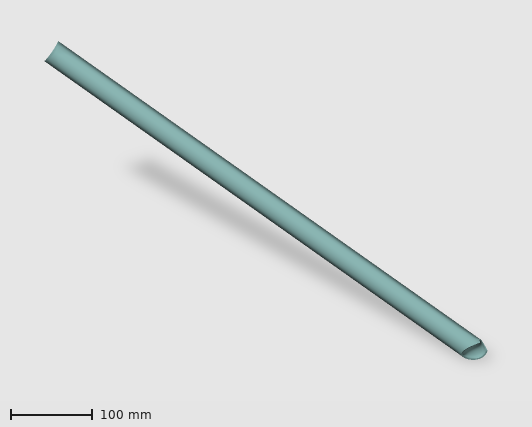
import cadquery as cq
import math

tube_radius = 14.9
wall = 1.5
run_x = 762.0
rise_y = 22.0
drop_z = 174.0
cutter_length = 153.0
end_margin = 46.0

start_radius = 15.0
start_roll = -38.0
start_tilt = 10.0

broad_roll = 35.0
broad_radius = 31.0
broad_tilt = 28.0
broad_lead = 27.0
notch_roll = 45.0
notch_radius = 14.9
notch_tilt = -34.0
notch_lead = 18.0

tube_length = math.sqrt(run_x**2 + rise_y**2 + drop_z**2)
tube_direction = cq.Vector(run_x, rise_y, -drop_z).normalized()
side_direction = cq.Vector(-rise_y, run_x, 0).normalized()
lift_direction = tube_direction.cross(side_direction)


def make_tube():
    """Tube reaching past both cutter centres."""
    start = tube_direction * -end_margin
    plane = cq.Plane(start.toTuple(), side_direction.toTuple(), tube_direction.toTuple())
    blank = cq.Workplane(plane).circle(tube_radius).circle(tube_radius - wall)
    return blank.extrude(tube_length + 2 * end_margin)


def make_cope(distance, radius, roll, tilt, outward):
    """Cutter cylinder plus everything beyond its axis on the outward side."""
    roll_angle = math.radians(roll)
    tilt_angle = math.radians(tilt)
    across = side_direction * math.cos(roll_angle) + lift_direction * math.sin(roll_angle)
    axis = across * math.cos(tilt_angle) + tube_direction * math.sin(tilt_angle)
    facing = (tube_direction * math.cos(tilt_angle) - across * math.sin(tilt_angle)) * outward
    middle = tube_direction * distance
    base = middle - axis * (cutter_length / 2)
    plane = cq.Plane(base.toTuple(), facing.toTuple(), axis.toTuple())
    cylinder = cq.Workplane(plane).circle(radius).extrude(cutter_length)
    beyond = cq.Workplane(plane).rect(cutter_length, cutter_length).extrude(cutter_length)
    beyond = beyond.translate((facing * (cutter_length / 2)).toTuple())
    return cylinder.union(beyond)


result = (
    make_tube()
    .cut(make_cope(0, start_radius, start_roll, start_tilt, -1))
    .cut(make_cope(tube_length + broad_lead, broad_radius, broad_roll, broad_tilt, 1))
    .cut(make_cope(tube_length + notch_lead, notch_radius, notch_roll, notch_tilt, 1))
)